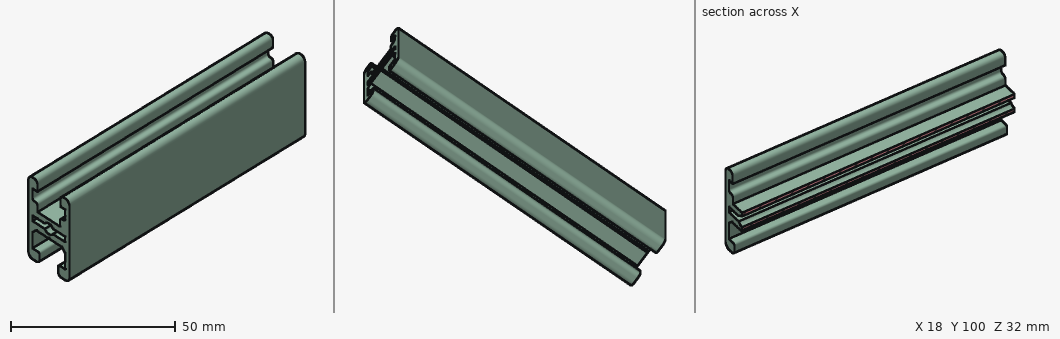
import cadquery as cq

width = 18.0
length = 100.0
height = 32.0

wall = 1.9
outer_radius = 2.0
inner_half_width = width / 2 - wall
half_height = height / 2
cut_margin = 1.0

upper_mouth_half_width = 5.0
upper_lip_underside = 11.6
shelf_height = 7.1
upper_floor = 3.7
upper_floor_half_width = 4.9
upper_lip_radius = 1.5
shelf_nose_radius = 1.0
shelf_root_radius = 0.8

web_slot_height = 2.1
web_bore_diameter = 4.1

lower_mouth_half_width = 4.0
lower_lip_top = -11.7
lower_ceiling = -3.8
ceiling_chamfer = 1.6
lower_lip_radius = 1.5
lower_lip_edge_radius = 0.8

groove_half_width = 0.3
groove_depth = 0.3


def extrude_outline(half_outline):
    """Mirror a right-hand outline about the Z axis and extrude it along Y."""
    left = [(-x, z) for x, z in reversed(half_outline) if x > 0]
    sketch = cq.Workplane("XZ").polyline(half_outline + left).close()
    return sketch.extrude(length / 2, both=True)


def round_edges(body, x, z, radius):
    """Round the mirrored pair of lengthwise edges at (+x, z) and (-x, z)."""
    for side in (-1, 1):
        body = body.edges(cq.NearestToPointSelector((side * x, 0, z))).fillet(radius)
    return body


def upper_channel():
    return extrude_outline([
        (0, upper_floor),
        (upper_floor_half_width, upper_floor),
        (upper_floor_half_width, shelf_height),
        (inner_half_width, shelf_height),
        (inner_half_width, upper_lip_underside),
        (upper_mouth_half_width, upper_lip_underside),
        (upper_mouth_half_width, half_height + cut_margin),
    ])


def lower_channel():
    return extrude_outline([
        (0, lower_ceiling + groove_depth),
        (groove_half_width, lower_ceiling),
        (inner_half_width - ceiling_chamfer, lower_ceiling),
        (inner_half_width, lower_ceiling - ceiling_chamfer),
        (inner_half_width, lower_lip_top),
        (lower_mouth_half_width, lower_lip_top),
        (lower_mouth_half_width, -half_height - cut_margin),
    ])


def web_hollow():
    slot = cq.Workplane("XY").box(2 * inner_half_width, length, web_slot_height)
    bore = cq.Workplane("XZ").circle(web_bore_diameter / 2).extrude(length / 2, both=True)
    return slot.union(bore)


body = cq.Workplane("XY").box(width, length, height).edges("|Y").fillet(outer_radius)
body = body.cut(upper_channel()).cut(lower_channel()).cut(web_hollow())

body = round_edges(body, upper_mouth_half_width, half_height, upper_lip_radius)
body = round_edges(body, upper_floor_half_width, shelf_height, shelf_nose_radius)
body = round_edges(body, inner_half_width, shelf_height, shelf_root_radius)
body = round_edges(body, lower_mouth_half_width, -half_height, lower_lip_radius)
body = round_edges(body, lower_mouth_half_width, lower_lip_top, lower_lip_edge_radius)

result = body